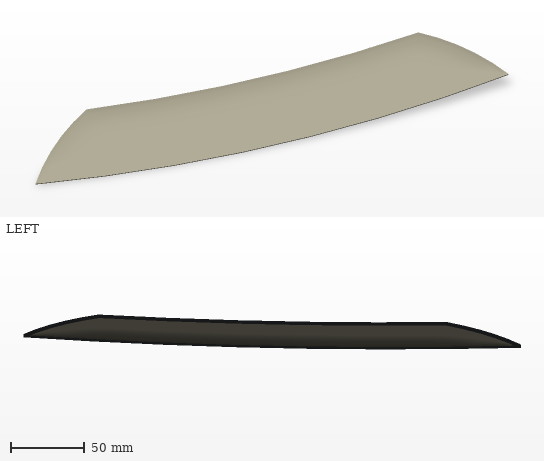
import cadquery as cq
import math

inner_radius = 1125.0
blade_width = 52.6
inner_half_length = 118.85
outer_half_length = 169.63
end_radius = 145.0
thickness = 1.0

lengthwise_tilt = 1.28
crosswise_tilt = 17.9

outer_radius = inner_radius + blade_width
arc_centre_x = -(inner_radius + outer_radius) / 2


def long_edge_end_x(radius, half_length):
    """x position where a long edge meets the blade's ends."""
    return arc_centre_x + math.sqrt(radius**2 - half_length**2)


def blade_outline():
    """Outline of four arcs, symmetric about the x axis."""
    inner_x = long_edge_end_x(inner_radius, inner_half_length)
    outer_x = long_edge_end_x(outer_radius, outer_half_length)
    inner_apex = (arc_centre_x + inner_radius, 0)
    outer_apex = (arc_centre_x + outer_radius, 0)
    return (
        cq.Workplane("XY")
        .moveTo(inner_x, -inner_half_length)
        .radiusArc((outer_x, -outer_half_length), -end_radius)
        .threePointArc(outer_apex, (outer_x, outer_half_length))
        .radiusArc((inner_x, inner_half_length), -end_radius)
        .threePointArc(inner_apex, (inner_x, -inner_half_length))
        .close()
    )


def tilt(blade):
    """Set the flat blade at its lengthwise, then its crosswise slope."""
    origin = (0, 0, 0)
    lengthwise = blade.rotate(origin, (1, 0, 0), lengthwise_tilt)
    return lengthwise.rotate(origin, (0, 1, 0), crosswise_tilt)


result = tilt(blade_outline().extrude(thickness))